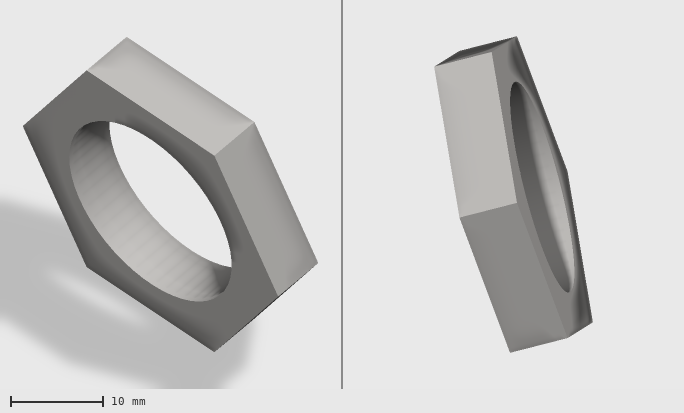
import cadquery as cq

across_corners = 36.95
thickness = 6.5
bore_diameter = 23.5

blank = (
    cq.Workplane("XZ")
    .polygon(6, across_corners)
    .extrude(thickness / 2, both=True)
)

result = blank.faces("<Y").workplane(centerOption="CenterOfBoundBox").hole(bore_diameter)